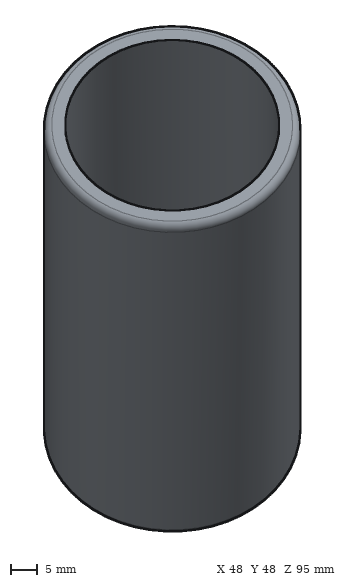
import cadquery as cq

outer_diameter = 48.0
bore_diameter = 40.0
length = 95.0
rim_fillet = 1.5


def sleeve_body():
    """Solid cylinder with both outer rims rounded."""
    body = cq.Workplane("XY").circle(outer_diameter / 2).extrude(length)
    return body.edges("%CIRCLE").fillet(rim_fillet)


def cut_bore(body):
    """Straight through bore with sharp ends."""
    bore = cq.Workplane("XY").circle(bore_diameter / 2).extrude(length)
    return body.cut(bore)


result = cut_bore(sleeve_body())